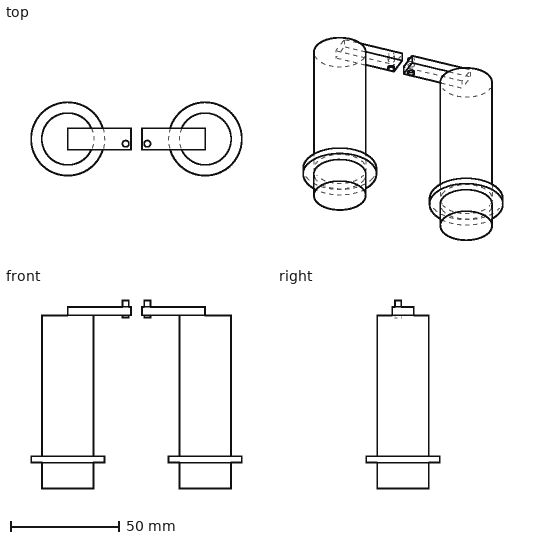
import cadquery as cq

post_diameter = 24.0
post_height = 80.0
post_spacing = 63.5

flange_diameter = 34.0
flange_thickness = 3.0
flange_base_height = 12.0

arm_gap = 4.9
arm_length = (post_spacing - arm_gap) / 2
arm_width = 10.0
arm_thickness = 4.0

pin_diameter = 3.0
pin_spacing = 10.0
pin_offset_y = -2.2
pin_rise = 3.0
pin_drop = 1.0


def arm_post(side):
    """One post with its flange, arm and pin; side is -1 for the left one and +1 for the right one."""
    post_x = side * post_spacing / 2
    arm_x = side * (arm_gap + arm_length) / 2
    pin_x = side * pin_spacing / 2
    pin_length = pin_drop + arm_thickness + pin_rise

    post = cq.Workplane("XY").center(post_x, 0).circle(post_diameter / 2).extrude(post_height)
    flange = (
        cq.Workplane("XY", origin=(post_x, 0, flange_base_height))
        .circle(flange_diameter / 2)
        .extrude(flange_thickness)
    )
    arm = (
        cq.Workplane("XY", origin=(arm_x, 0, post_height))
        .rect(arm_length, arm_width)
        .extrude(arm_thickness)
    )
    pin = (
        cq.Workplane("XY", origin=(pin_x, pin_offset_y, post_height - pin_drop))
        .circle(pin_diameter / 2)
        .extrude(pin_length)
    )
    return post.union(flange).union(arm).union(pin)


arm_posts = [arm_post(side) for side in (-1, 1)]

result = cq.Compound.makeCompound([body.val() for body in arm_posts])